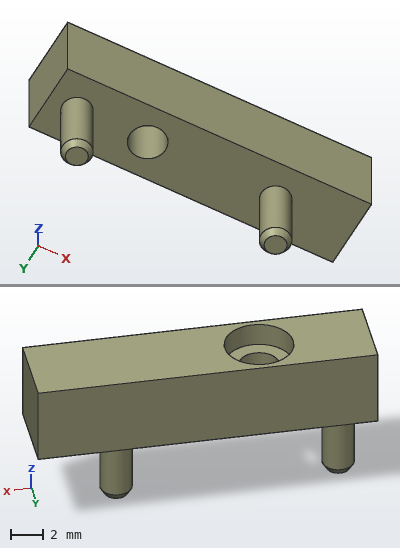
import cadquery as cq

block_length = 21.4
block_side = 5.0

hole_x = 7.0
hole_diameter = 2.5
counterbore_diameter = 4.3
counterbore_depth = 1.5

pin_diameter = 2.01
pin_length = 4.9
first_pin_x = 2.01
pin_spacing = 14.0
pin_count = 2
tip_height = 0.47
tip_inset = 0.3


def make_block():
    """Square bar with a counterbored through hole opening on its top face."""
    bar = cq.Workplane("XY").box(
        block_length, block_side, block_side, centered=(False, True, False)
    )
    return (
        bar.faces(">Z")
        .workplane(origin=(hole_x, 0, block_side))
        .cboreHole(hole_diameter, counterbore_diameter, counterbore_depth)
    )


def make_pin(x):
    """Round pin hanging from the block's underside, with a tapered lower tip."""
    radius = pin_diameter / 2
    profile = (
        cq.Workplane("XZ")
        .moveTo(0, 0)
        .lineTo(radius, 0)
        .lineTo(radius, tip_height - pin_length)
        .lineTo(radius - tip_inset, -pin_length)
        .lineTo(0, -pin_length)
        .close()
    )
    pin = profile.revolve(360, (0, 0, 0), (0, 1, 0))
    return pin.translate((x, 0, 0))


block = make_block()
pins = [make_pin(first_pin_x + i * pin_spacing) for i in range(pin_count)]

result = cq.Compound.makeCompound([block.val(), *[pin.val() for pin in pins]])